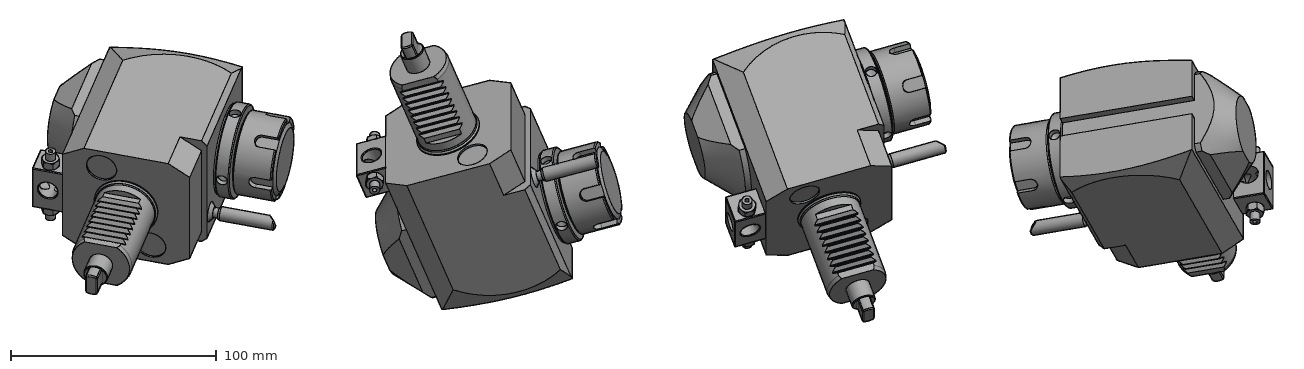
import cadquery as cq
import math


half_height = 32.0
half_width = 32.1
back_y = 84.0
bevel_height = 6.3
bevel_angle = 30.0
collar_side_x = 34.9
notch_y = 21.0
back_slot_width = 10.1
back_slot_depth = 4.0
crown_x, crown_y = 8.8, 35.6
crown_radius = 45.0
crown_angle = 18.5
recess_radius = 7.6
recess_depth = 1.0
recess_x, recess_z = 12.4, 21.6

spindle_y = 55.0

cap_end_x = -50.7
cap_radius = 32.0
cap_end_radius = 16.5
cap_half_height = 23.0
cap_flat_end_height = 15.8

nut_radius = 20.9
nut_start_x = 44.0
nut_shoulder_x = 63.5
nut_end_x = 64.7
nut_slot_count = 6
nut_slot_width = 6.3
nut_slot_depth = 2.9
nut_slot_start_x = 52.3

ring_radius = 23.5
ring_start_x, ring_end_x = 35.8, 43.0
ring_hole_count = 4
ring_hole_radius = 2.8

jet_y, jet_z = 26.7, -17.0
jet_radius = 3.5
jet_end_x = 67.6

block_outer_x = -47.7
block_y0, block_y1 = 1.2, 16.2
block_half_height = 12.3
block_edge = 0.5
through_bore_radius = 4.8
side_bore_radius = 4.7
oil_bore_radius = 1.3
side_bore_y = 8.8
port_x = -39.9
nipple_y = 6.1
nipple_flats = 8.0
hexagon_top_z = 16.5
nipple_top_z = 21.0
nipple_radius = 2.5
nipple_bore_radius = 1.0

shank_radius = 15.0
shank_end_y = -45.0
shank_flat_z = 12.0
shank_flat_y = -6.7
groove_count = 8
groove_first_y, groove_last_y = -11.5, -39.5
groove_pitch = (groove_first_y - groove_last_y) / (groove_count - 1)
groove_half_width = 1.8
groove_depth = 1.8
groove_floor_half_width = 0.3

tail_radius = 6.0
tail_shoulder_y = -54.6
tail_end_y = -62.0
tang_width = 6.1
tang_edge = 0.6
shoulder_edge = 0.5


def box(x0, x1, y0, y1, z0, z1):
    """Box between the given coordinates."""
    return cq.Workplane("XY").box(x1 - x0, y1 - y0, z1 - z0, centered=False).translate((x0, y0, z0))


def rod(start, direction, radius, length):
    """Cylinder from a start point along a direction."""
    return cq.Workplane(cq.Solid.makeCylinder(radius, length, cq.Vector(*start), cq.Vector(*direction)))


def turned_x(points, y, z):
    """Solid of revolution about an X-parallel axis from (x, radius) points."""
    profile = cq.Workplane("XY").polyline(points).close()
    return profile.revolve(360, (0, 0, 0), (1, 0, 0)).translate((0, y, z))


def turned_y(points):
    """Solid of revolution about the Y axis from (radius, y) points."""
    return cq.Workplane("XY").polyline(points).close().revolve(360, (0, 0, 0), (0, 1, 0))


def prism_y(points, y0, y1):
    """Extrude an (x, z) outline from y0 to y1."""
    return cq.Workplane("XZ", origin=(0, y0, 0)).polyline(points).close().extrude(y0 - y1)


def make_housing():
    bevel_length = bevel_height / math.tan(math.radians(bevel_angle))
    side_z = half_height - bevel_height
    top_x = half_width - bevel_length
    left = [(-top_x, -half_height), (-half_width, -side_z), (-half_width, side_z), (-top_x, half_height)]
    front_right = [(-x, z) for x, z in reversed(left)]
    corner = collar_side_x - half_width
    corner_z = half_height - corner
    back_right = [
        (half_width, half_height),
        (collar_side_x, corner_z),
        (collar_side_x, -corner_z),
        (half_width, -half_height),
    ]
    body = prism_y(left + front_right, 0, notch_y).union(prism_y(left + back_right, notch_y, back_y))

    drop = half_height / 2
    rim_radius = crown_radius + drop / math.tan(math.radians(crown_angle))
    crown = (
        cq.Workplane("XZ")
        .polyline([
            (0, half_height), (crown_radius, half_height), (rim_radius, half_height - drop),
            (rim_radius, drop - half_height), (crown_radius, -half_height), (0, -half_height),
        ])
        .close()
        .revolve(360, (0, 0, 0), (0, 1, 0))
        .translate((crown_x, crown_y, 0))
    )
    back_zone = box(-half_width, collar_side_x, crown_y, back_y, -half_height, half_height)
    body = body.cut(back_zone.cut(crown))

    slot_z = back_slot_width / 2
    body = body.cut(box(-half_width, collar_side_x, back_y - back_slot_depth, back_y, -slot_z, slot_z))
    for side in (-1, 1):
        body = body.cut(rod((side * recess_x, 0, -side * recess_z), (0, 1, 0), recess_radius, recess_depth))
    return body


def make_rear_cap():
    cone_start_x = cap_end_x + cap_radius - cap_end_radius
    cap = turned_x(
        [(-half_width, 0), (-half_width, cap_radius), (cone_start_x, cap_radius),
         (cap_end_x, cap_end_radius), (cap_end_x, 0)],
        spindle_y, 0,
    )
    flat_rise = cap_half_height - cap_flat_end_height
    flat_start_x = cap_end_x + flat_rise / math.tan(math.radians(bevel_angle))
    upper = [
        (-half_width, cap_half_height),
        (flat_start_x, cap_half_height),
        (cap_end_x, cap_flat_end_height),
    ]
    lower = [(x, -z) for x, z in reversed(upper)]
    envelope = prism_y(upper + lower, 0, back_y - back_slot_depth)
    return cap.intersect(envelope)


def make_spindle():
    seat_radius = 22.6
    neck_radius = 17.5
    nose_radius = 18.1
    end_radius = 15.8
    edge = 0.6
    spindle = turned_x(
        [
            (collar_side_x, 0), (collar_side_x, seat_radius), (ring_start_x, seat_radius),
            (ring_start_x, ring_radius - edge), (ring_start_x + edge, ring_radius),
            (ring_end_x - edge, ring_radius), (ring_end_x, ring_radius - edge),
            (ring_end_x, neck_radius), (nut_start_x, neck_radius),
            (nut_start_x, nut_radius - edge), (nut_start_x + edge, nut_radius),
            (nut_shoulder_x - edge, nut_radius), (nut_shoulder_x, nut_radius - edge),
            (nut_shoulder_x, nose_radius), (nut_end_x, end_radius), (nut_end_x, 0),
        ],
        spindle_y, 0,
    )
    axis_start = (0, spindle_y, 0)
    axis_end = (1, spindle_y, 0)

    half_slot = nut_slot_width / 2
    slot_x = nut_slot_start_x + half_slot
    outside_y = spindle_y - nut_radius
    floor_y = outside_y + nut_slot_depth
    slot = box(slot_x, nut_end_x, outside_y, floor_y, -half_slot, half_slot)
    slot = slot.union(rod((slot_x, outside_y, 0), (0, 1, 0), half_slot, floor_y - outside_y))
    for i in range(nut_slot_count):
        spindle = spindle.cut(slot.rotate(axis_start, axis_end, i * 360 / nut_slot_count))

    hole_x = (ring_start_x + ring_end_x) / 2
    straight_depth = 2.9
    hole_start = (hole_x, spindle_y - ring_radius, 0)
    tip_start = cq.Vector(hole_x, spindle_y - ring_radius + straight_depth, 0)
    hole = rod(hole_start, (0, 1, 0), ring_hole_radius, straight_depth)
    tip = cq.Solid.makeCone(ring_hole_radius, 0, ring_hole_radius / 2, tip_start, cq.Vector(0, 1, 0))
    hole = hole.union(cq.Workplane(tip))
    for i in range(ring_hole_count):
        spindle = spindle.cut(hole.rotate(axis_start, axis_end, i * 360 / ring_hole_count))
    return spindle


def make_jet():
    base_radius = 5.1
    neck_radius = 2.5
    neck_start_x, neck_end_x = 36.8, 39.3
    edge = 0.6
    jet = turned_x(
        [
            (collar_side_x, 0), (collar_side_x, base_radius), (neck_start_x, jet_radius - edge),
            (neck_start_x, neck_radius), (neck_end_x, neck_radius),
            (neck_end_x, jet_radius - edge), (neck_end_x + 2 * edge, jet_radius),
            (jet_end_x - edge, jet_radius), (jet_end_x, jet_radius - edge), (jet_end_x, 0),
        ],
        jet_y, jet_z,
    )
    to_spindle = cq.Vector(0, spindle_y - jet_y, -jet_z).normalized()
    normal = (cq.Vector(1, 0, 0) + to_spindle).normalized()
    tip_centre = cq.Vector(jet_end_x, jet_y, jet_z)
    outlet = tip_centre + (to_spindle - cq.Vector(1, 0, 0)) * (jet_radius / 2)
    outlet_radius = 1.5
    outlet_depth = 2.2
    jet = jet.cut(rod(tip_centre.toTuple(), normal.toTuple(), 2 * jet_radius, 2 * jet_radius))
    bore_start = outlet - normal * outlet_depth
    return jet.cut(rod(bore_start.toTuple(), normal.toTuple(), outlet_radius, outlet_depth))


def make_nipple():
    """Hexagon nut and nipple on top of the coolant block."""
    across_corners = nipple_flats / math.cos(math.radians(30))
    nut_height = hexagon_top_z - block_half_height
    edge = 0.6
    nut = cq.Workplane("XY").polygon(6, across_corners).extrude(nut_height)
    corner_radius = across_corners / 2
    turning = cq.Workplane("XY").circle(corner_radius).extrude(nut_height).faces("|Z").chamfer(edge)
    pipe = cq.Workplane("XY").circle(nipple_radius).extrude(nipple_top_z - block_half_height)
    pipe = pipe.faces(">Z").workplane().hole(2 * nipple_bore_radius, nut_height)
    return nut.intersect(turning).union(pipe).translate((port_x, nipple_y, block_half_height))


def make_coolant_block():
    block = box(block_outer_x, -half_width, block_y0, block_y1, -block_half_height, block_half_height)
    block = block.edges("(not |X) and <X").chamfer(block_edge)
    block = block.faces("<Y or >Y").edges("|X").chamfer(block_edge)
    nipple = make_nipple()
    block = block.union(nipple).union(nipple.mirror("XY"))
    block = block.cut(rod((port_x, block_y0, 0), (0, 1, 0), through_bore_radius, block_y1 - block_y0))
    sink = cq.Solid.makeCone(
        through_bore_radius + block_edge, through_bore_radius, block_edge,
        cq.Vector(port_x, block_y0, 0), cq.Vector(0, 1, 0),
    )
    block = block.cut(cq.Workplane(sink))
    start = (block_outer_x, side_bore_y, 0)
    block = block.cut(rod(start, (1, 0, 0), side_bore_radius, port_x + through_bore_radius - block_outer_x))
    return block.cut(rod(start, (1, 0, 0), oil_bore_radius, -half_width - block_outer_x))


def make_shank():
    flange_radius = 16.0
    flange_y = -0.6
    collar_radius = 15.3
    collar_start_y, collar_end_y = -1.5, -2.2
    edge = 0.6
    edge_length = 2.2
    shank = turned_y([
        (0, 0), (flange_radius, 0), (flange_radius, flange_y),
        (collar_radius, collar_start_y), (shank_radius, collar_end_y),
        (shank_radius, shank_end_y + edge_length), (shank_radius - edge, shank_end_y), (0, shank_end_y),
    ])
    flat = box(-shank_radius, shank_radius, shank_end_y, shank_flat_y, shank_flat_z, shank_radius)
    for i in range(groove_count):
        y = groove_first_y - i * groove_pitch
        groove = (
            cq.Workplane("YZ", origin=(-shank_radius, 0, 0))
            .polyline([
                (y - groove_half_width, shank_flat_z),
                (y - groove_floor_half_width, shank_flat_z - groove_depth),
                (y + groove_floor_half_width, shank_flat_z - groove_depth),
                (y + groove_half_width, shank_flat_z),
            ])
            .close()
            .extrude(2 * shank_radius)
        )
        flat = flat.union(groove)
    return shank.cut(flat).cut(flat.mirror("XY"))


def make_tail():
    shoulder = turned_y([
        (0, shank_end_y), (tail_radius, shank_end_y), (tail_radius, tail_shoulder_y + shoulder_edge),
        (tail_radius - shoulder_edge, tail_shoulder_y), (0, tail_shoulder_y),
    ])
    tang_round = turned_y([
        (0, tail_shoulder_y), (tail_radius, tail_shoulder_y), (tail_radius, tail_end_y + tang_edge),
        (tail_radius - tang_edge, tail_end_y), (0, tail_end_y),
    ])
    half_tang = tang_width / 2
    tang = tang_round.intersect(
        box(-half_tang, half_tang, tail_end_y, tail_shoulder_y, -tail_radius, tail_radius)
    )
    tang = tang.faces("|X").edges("not >Y").chamfer(tang_edge)
    return shoulder.union(tang).edges("|Z").edges(">Y").fillet(tang_edge)


result = (
    make_housing()
    .union(make_rear_cap())
    .union(make_spindle())
    .union(make_jet())
    .union(make_coolant_block())
    .union(make_shank())
    .union(make_tail())
)